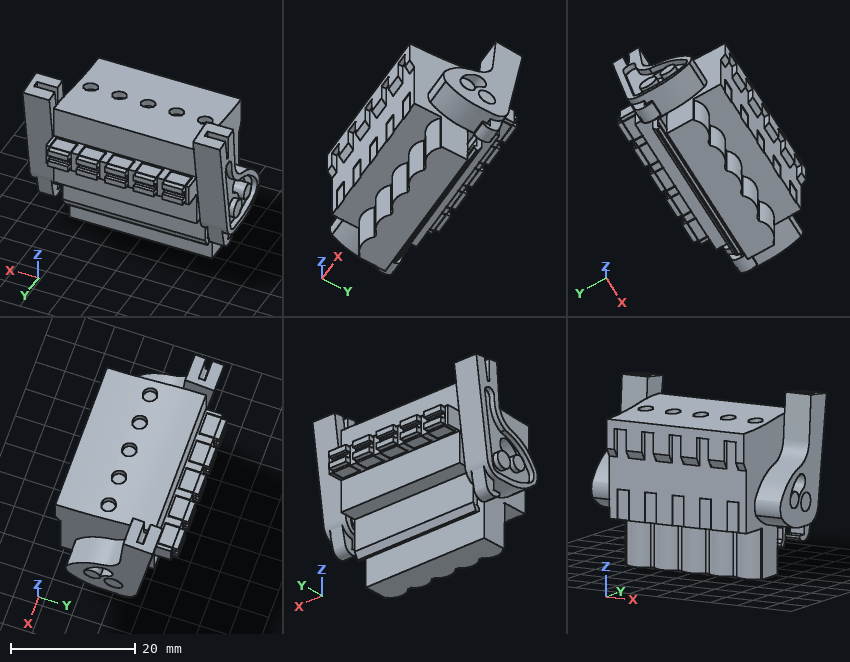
import cadquery as cq
import math


POLE_COUNT = 5
PITCH = 5.1
POLE_CENTERS = [(i - (POLE_COUNT - 1) / 2) * PITCH for i in range(POLE_COUNT)]

HOUSING_WIDTH = 25.4
HOUSING_SIDE_X = HOUSING_WIDTH / 2
BACK_Y = 15.97
TOP_BACK_Z = 17.85
TOP_CREASE = (9.02, 17.27)
TOP_REAR_ARC_MID = (12.5, 17.73)
TOP_FRONT_ARC_MID = (4.07, 16.67)
TOP_FRONT_Z = 16.45
NOSE_DEPTH = 0.88
NOSE_BOTTOM_Z = 11.62
NOSE_CHAMFER_Z = 10.25
FOOT_BACK_Y = 12.67
FOOT_STEP_Z = 2.95

SKIRT_FRONT_Y = 5.1
SKIRT_BACK_Y = 10.05
SKIRT_HEIGHT = 8.4
BUMP_WIDTH = 4.45
BUMP_DEPTH = 1.0

TONGUE_ROOT_Y = 11.37
TONGUE_NECK_TOP = (11.75, -1.05)
TONGUE_NECK_LOW = (11.75, -2.95)
TONGUE_CHIN_TOP = (11.25, -3.47)
TONGUE_CHIN_LOW = (11.25, -3.95)
TONGUE_TIP = (11.72, -4.35)
TONGUE_TIP_BACK = (12.05, -4.2)
TONGUE_HEEL_Z = -2.88

UPPER_SLOT_WIDTH = 2.15
UPPER_SLOT_TOP_Z = 15.0
LOWER_RECESS_WIDTH = 2.1
LOWER_RECESS_TOP_Z = 4.95
LOWER_RECESS_DEPTH = 0.1
HOLE_RADIUS = 1.2
HOLE_Y = 7.35
HOLE_FLOOR_Z = 15.65

BLOCK_BACK_Y = 18.8
BLOCK_BOTTOM_Z = 8.78
BLOCK_TOP_Z = 12.35
BAY_FRONT_Y = 16.35
BAY_WIDTH = 3.85

BUTTON_WIDTH = 3.6
BUTTON_BACK_Y = 19.75
PRONG_BOTTOM_Z = 9.13
PRONG_TOP_Z = 12.25
PRONG_THICKNESS = 1.02
PRONG_FLARE = 0.15
PRONG_FLARE_LENGTH = 0.35

OVERALL_WIDTH = 35.1
LEVER_WIDTH = 4.77
LEVER_LEFT_SIDES = [-OVERALL_WIDTH / 2, OVERALL_WIDTH / 2 - LEVER_WIDTH]
LEVER_HEEL = (14.35, 0)
LEVER_HEEL_RADIUS = 3.02
LEVER_TOP_BACK = (17.45, 20.57)
LEVER_TOP_FRONT = (12.4, 21.13)
LEVER_NECK_TOP = (11.8, 13.37)
LEVER_NECK_MID = (10.85, 11.23)
LEVER_NECK_LOW = (8.85, 9.95)
LEVER_CAM_MID = (5.58, 8.35)
LEVER_CAM_LOW = (3.1, 5.7)
LEVER_NOSE_TOP = (2.77, 5.2)
LEVER_NOSE_MID = (2.55, 3.75)
LEVER_NOSE_LOW = (2.95, 2.5)
LEVER_SOLE_MID = (5.75, 0.65)
LEVER_SOLE_END = (9.3, 0)

RECESS_DEPTH = 1.0
RECESS_HEEL = (13.27, 1.0)
RECESS_HEEL_RADIUS = 1.4
RECESS_TOP_BACK = (15.35, 14.55)
RECESS_TOP_MID = (14.2, 15.7)
RECESS_TOP_FRONT = (13.1, 14.7)
RECESS_NECK_TOP = (13.0, 13.37)
RECESS_NECK_MID = (12.05, 10.88)
RECESS_NECK_LOW = (10.42, 9.4)
RECESS_CAM_MID = (6.67, 7.85)
RECESS_CAM_LOW = (3.72, 4.85)
RECESS_NOSE_MID = (3.45, 3.65)
RECESS_NOSE_LOW = (4.07, 2.45)
RECESS_SOLE_MID = (6.45, 1.4)
RECESS_SOLE_END = (9.3, RECESS_HEEL[1])

GRIP_SLOT_DEPTH = 3.65
GRIP_SLOT_TOP_BACK = (15.45, 21.05)
GRIP_SLOT_LOW_BACK = (14.75, 17.0)
GRIP_SLOT_END = (14.45, 16.75)
GRIP_SLOT_LOW_FRONT = (14.2, 17.0)
GRIP_SLOT_TOP_FRONT = (14.32, 21.05)

HOOK_WIDTH = 2.67
HOOK_ROOT = (14.5, 1.95)
HOOK_BACK = (13.7, -1.7)
HOOK_POST_FRONT_Y = 12.0
HOOK_LEDGE_Z = -1.75
HOOK_TIP_Y = 10.53
HOOK_TIP_Z = -2.18
HOOK_BOTTOM = (11.95, -2.85)

PIVOT_CENTER = (10.7, 3.9)
PIVOT_RADIUS = 1.55
GUIDE_RADIUS = 1.37
GUIDE_ORBIT = 3.75
GUIDE_ANGLE = 166.0
GUIDE_SWING = 52.0


def side_plane(x):
    """A work plane at x with local axes Y and Z, extruding towards +X."""
    return cq.Workplane("YZ", origin=(x, 0, 0))


def box_between(x_center, width, y_range, z_range):
    """A box centred on x_center that fills the given Y and Z ranges."""
    depth = y_range[1] - y_range[0]
    height = z_range[1] - z_range[0]
    center = (x_center, sum(y_range) / 2, sum(z_range) / 2)
    return cq.Workplane("XY").box(width, depth, height).translate(center)


def orbit_point(radius, degrees):
    """The side-profile point at a distance and angle from the pivot; 180 degrees is the front."""
    angle = math.radians(degrees)
    return (PIVOT_CENTER[0] + radius * math.cos(angle), PIVOT_CENTER[1] + radius * math.sin(angle))


GUIDE_CENTER = orbit_point(GUIDE_ORBIT, GUIDE_ANGLE)




def housing_shell():
    """Main block with an S-curved top, a nose at the front and a stepped rear underside."""
    return (
        side_plane(-HOUSING_SIDE_X)
        .moveTo(0, 0)
        .lineTo(0, NOSE_CHAMFER_Z)
        .lineTo(-NOSE_DEPTH, NOSE_BOTTOM_Z)
        .lineTo(-NOSE_DEPTH, TOP_FRONT_Z)
        .threePointArc(TOP_FRONT_ARC_MID, TOP_CREASE)
        .threePointArc(TOP_REAR_ARC_MID, (BACK_Y, TOP_BACK_Z))
        .lineTo(BACK_Y, FOOT_STEP_Z)
        .lineTo(FOOT_BACK_Y, FOOT_STEP_Z)
        .lineTo(FOOT_BACK_Y, 0)
        .close()
        .extrude(HOUSING_WIDTH)
    )


def plug_skirt():
    """Block below the housing with one rounded bump per pole along its front."""
    outline = cq.Workplane("XY").moveTo(-HOUSING_SIDE_X, SKIRT_FRONT_Y)
    for x in POLE_CENTERS:
        outline = outline.lineTo(x - BUMP_WIDTH / 2, SKIRT_FRONT_Y).threePointArc(
            (x, SKIRT_FRONT_Y - BUMP_DEPTH), (x + BUMP_WIDTH / 2, SKIRT_FRONT_Y)
        )
    return (
        outline.lineTo(HOUSING_SIDE_X, SKIRT_FRONT_Y)
        .lineTo(HOUSING_SIDE_X, SKIRT_BACK_Y)
        .lineTo(-HOUSING_SIDE_X, SKIRT_BACK_Y)
        .close()
        .extrude(-SKIRT_HEIGHT)
    )


def latch_tongue():
    """Bent tongue that hangs behind the skirt."""
    return (
        side_plane(-HOUSING_SIDE_X)
        .moveTo(TONGUE_ROOT_Y, 0)
        .lineTo(*TONGUE_NECK_TOP)
        .lineTo(*TONGUE_NECK_LOW)
        .lineTo(*TONGUE_CHIN_TOP)
        .lineTo(*TONGUE_CHIN_LOW)
        .lineTo(*TONGUE_TIP)
        .lineTo(*TONGUE_TIP_BACK)
        .lineTo(FOOT_BACK_Y, TONGUE_HEEL_Z)
        .lineTo(FOOT_BACK_Y, 0)
        .close()
        .extrude(HOUSING_WIDTH)
    )


def rear_block():
    """Block on the back wall with an open bay for each release button."""
    z_range = (BLOCK_BOTTOM_Z, BLOCK_TOP_Z)
    block = box_between(0, HOUSING_WIDTH, (BACK_Y, BLOCK_BACK_Y), z_range)
    for x in POLE_CENTERS:
        block = block.cut(box_between(x, BAY_WIDTH, (BAY_FRONT_Y, BLOCK_BACK_Y), z_range))
    return block


def pole_openings():
    """Nose slot, shallow front recess and top hole of every pole, as cutting shapes."""
    hole_height = TOP_BACK_Z - HOLE_FLOOR_Z
    cutters = []
    for x in POLE_CENTERS:
        slot = box_between(x, UPPER_SLOT_WIDTH, (-NOSE_DEPTH, 0), (NOSE_CHAMFER_Z, UPPER_SLOT_TOP_Z))
        recess = box_between(x, LOWER_RECESS_WIDTH, (0, LOWER_RECESS_DEPTH), (0, LOWER_RECESS_TOP_Z))
        hole = (
            cq.Workplane("XY", origin=(x, HOLE_Y, HOLE_FLOOR_Z))
            .circle(HOLE_RADIUS)
            .extrude(hole_height)
        )
        cutters += [slot, recess, hole]
    return cutters


def lever_pins(side):
    """Pivot and guide pin on one side (-1 left, +1 right), reaching the lever's outer face."""
    length = OVERALL_WIDTH / 2 - HOUSING_SIDE_X
    plane = side_plane(side * HOUSING_SIDE_X)
    pivot = plane.center(*PIVOT_CENTER).circle(PIVOT_RADIUS).extrude(side * length)
    guide = plane.center(*GUIDE_CENTER).circle(GUIDE_RADIUS).extrude(side * length)
    return pivot.union(guide)


def make_housing():
    housing = housing_shell().union(plug_skirt()).union(latch_tongue()).union(rear_block())
    for cutter in pole_openings():
        housing = housing.cut(cutter)
    for side in (-1, 1):
        housing = housing.union(lever_pins(side))
    return housing




def make_button(x):
    """Button body in its bay, with two prongs sticking out at the back."""
    body = box_between(x, BUTTON_WIDTH, (BAY_FRONT_Y, BLOCK_BACK_Y), (BLOCK_BOTTOM_Z, BLOCK_TOP_Z))
    upper_prong_z = PRONG_TOP_Z - PRONG_THICKNESS
    lower_prong_z = PRONG_BOTTOM_Z + PRONG_THICKNESS
    flare_y = BLOCK_BACK_Y + PRONG_FLARE_LENGTH
    prongs = (
        side_plane(x - BUTTON_WIDTH / 2)
        .moveTo(BLOCK_BACK_Y, PRONG_TOP_Z)
        .lineTo(BUTTON_BACK_Y, PRONG_TOP_Z)
        .lineTo(BUTTON_BACK_Y, upper_prong_z)
        .lineTo(flare_y, upper_prong_z)
        .lineTo(BLOCK_BACK_Y, upper_prong_z - PRONG_FLARE)
        .close()
        .moveTo(BLOCK_BACK_Y, PRONG_BOTTOM_Z)
        .lineTo(BUTTON_BACK_Y, PRONG_BOTTOM_Z)
        .lineTo(BUTTON_BACK_Y, lower_prong_z)
        .lineTo(flare_y, lower_prong_z)
        .lineTo(BLOCK_BACK_Y, lower_prong_z + PRONG_FLARE)
        .close()
        .extrude(BUTTON_WIDTH)
    )
    return body.union(prongs)




def lever_blank(left_x):
    """Solid lever: upright handle sweeping forward into a rounded cam."""
    return (
        side_plane(left_x)
        .moveTo(*LEVER_HEEL)
        .lineTo(*LEVER_TOP_BACK)
        .lineTo(*LEVER_TOP_FRONT)
        .lineTo(*LEVER_NECK_TOP)
        .threePointArc(LEVER_NECK_MID, LEVER_NECK_LOW)
        .threePointArc(LEVER_CAM_MID, LEVER_CAM_LOW)
        .lineTo(*LEVER_NOSE_TOP)
        .threePointArc(LEVER_NOSE_MID, LEVER_NOSE_LOW)
        .threePointArc(LEVER_SOLE_MID, LEVER_SOLE_END)
        .close()
        .extrude(LEVER_WIDTH)
        .edges(cq.selectors.NearestToPointSelector((left_x + LEVER_WIDTH / 2, *LEVER_HEEL)))
        .fillet(LEVER_HEEL_RADIUS)
    )


def lever_recess(left_x):
    """Shallow recess that follows the lever outline on its left face."""
    return (
        side_plane(left_x)
        .moveTo(*RECESS_HEEL)
        .lineTo(*RECESS_TOP_BACK)
        .threePointArc(RECESS_TOP_MID, RECESS_TOP_FRONT)
        .lineTo(*RECESS_NECK_TOP)
        .threePointArc(RECESS_NECK_MID, RECESS_NECK_LOW)
        .threePointArc(RECESS_CAM_MID, RECESS_CAM_LOW)
        .threePointArc(RECESS_NOSE_MID, RECESS_NOSE_LOW)
        .threePointArc(RECESS_SOLE_MID, RECESS_SOLE_END)
        .close()
        .extrude(RECESS_DEPTH)
        .edges(cq.selectors.NearestToPointSelector((left_x + RECESS_DEPTH / 2, *RECESS_HEEL)))
        .fillet(RECESS_HEEL_RADIUS)
    )


def grip_slot(left_x):
    """Tapered slot down from the lever top, open on the left face."""
    return (
        side_plane(left_x)
        .moveTo(*GRIP_SLOT_TOP_BACK)
        .lineTo(*GRIP_SLOT_LOW_BACK)
        .threePointArc(GRIP_SLOT_END, GRIP_SLOT_LOW_FRONT)
        .lineTo(*GRIP_SLOT_TOP_FRONT)
        .close()
        .extrude(GRIP_SLOT_DEPTH)
    )


def guide_slot(left_x):
    """Arc-shaped slot around the pivot with the guide pin at its front end."""
    inner = GUIDE_ORBIT - GUIDE_RADIUS
    outer = GUIDE_ORBIT + GUIDE_RADIUS
    far_angle = GUIDE_ANGLE - GUIDE_SWING
    mid_angle = GUIDE_ANGLE - GUIDE_SWING / 2
    end_reach = 2 * math.degrees(math.asin(GUIDE_RADIUS / 2 / GUIDE_ORBIT))
    return (
        side_plane(left_x)
        .moveTo(*orbit_point(inner, GUIDE_ANGLE))
        .threePointArc(orbit_point(inner, mid_angle), orbit_point(inner, far_angle))
        .threePointArc(orbit_point(GUIDE_ORBIT, far_angle - end_reach), orbit_point(outer, far_angle))
        .threePointArc(orbit_point(outer, mid_angle), orbit_point(outer, GUIDE_ANGLE))
        .threePointArc(orbit_point(GUIDE_ORBIT, GUIDE_ANGLE + end_reach), orbit_point(inner, GUIDE_ANGLE))
        .close()
        .extrude(LEVER_WIDTH)
    )


def lever_hook(left_x):
    """Hook below the lever heel, centred on the lever width."""
    return (
        side_plane(left_x + (LEVER_WIDTH - HOOK_WIDTH) / 2)
        .moveTo(HOOK_POST_FRONT_Y, HOOK_ROOT[1])
        .lineTo(HOOK_POST_FRONT_Y, HOOK_LEDGE_Z)
        .lineTo(HOOK_TIP_Y, HOOK_LEDGE_Z)
        .lineTo(HOOK_TIP_Y, HOOK_TIP_Z)
        .threePointArc(HOOK_BOTTOM, HOOK_BACK)
        .lineTo(*HOOK_ROOT)
        .close()
        .extrude(HOOK_WIDTH)
    )


def make_lever(left_x):
    pivot_hole = side_plane(left_x).center(*PIVOT_CENTER).circle(PIVOT_RADIUS).extrude(LEVER_WIDTH)
    return (
        lever_blank(left_x)
        .union(lever_hook(left_x))
        .cut(lever_recess(left_x))
        .cut(grip_slot(left_x))
        .cut(guide_slot(left_x + RECESS_DEPTH))
        .cut(pivot_hole)
    )


housing = make_housing()
buttons = [make_button(x) for x in POLE_CENTERS]
levers = [make_lever(x) for x in LEVER_LEFT_SIDES]

result = cq.Compound.makeCompound(
    [housing.val(), *[button.val() for button in buttons], *[lever.val() for lever in levers]]
)